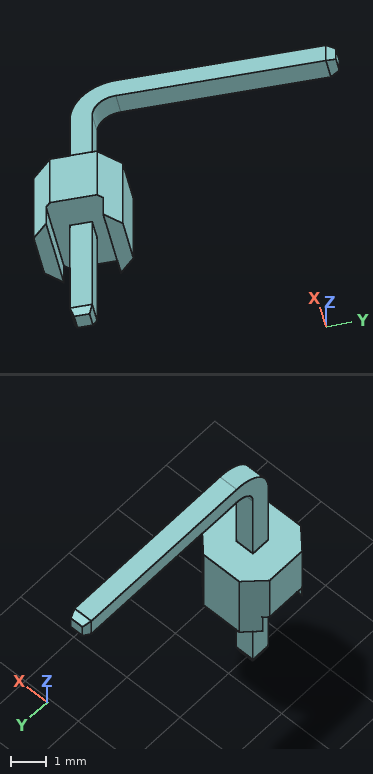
import cadquery as cq

pin_width = 0.64
pin_height = 9.39
pin_reach = 7.24
inner_bend_radius = 0.67
tip_length = 0.26
tip_width = 0.44

body_width = 2.54
body_corner = 0.6
body_bottom = 3.005
body_top = 5.5
channel_width = 1.62
channel_depth = 0.69

bend_radius = inner_bend_radius + pin_width / 2
horizontal_axis_z = pin_height - pin_width / 2


def tapered_tip(base_plane):
    """Truncated pyramid growing from the end of a straight pin section."""
    return (
        cq.Workplane(base_plane)
        .rect(pin_width, pin_width)
        .workplane(offset=tip_length)
        .rect(tip_width, tip_width)
        .loft(ruled=True)
    )


def bent_pin():
    path = (
        cq.Workplane("YZ")
        .moveTo(0, tip_length)
        .lineTo(0, horizontal_axis_z - bend_radius)
        .radiusArc((bend_radius, horizontal_axis_z), bend_radius)
        .lineTo(pin_reach - tip_length, horizontal_axis_z)
    )
    wire = (
        cq.Workplane("XY", origin=(0, 0, tip_length))
        .rect(pin_width, pin_width)
        .sweep(path)
    )
    lower_end = cq.Plane(origin=(0, 0, tip_length), xDir=(1, 0, 0), normal=(0, 0, -1))
    outer_end = cq.Plane(
        origin=(0, pin_reach - tip_length, horizontal_axis_z),
        xDir=(1, 0, 0),
        normal=(0, 1, 0),
    )
    return wire.union(tapered_tip(lower_end)).union(tapered_tip(outer_end))


def octagonal_body():
    block = (
        cq.Workplane("XY", origin=(0, 0, body_bottom))
        .rect(body_width, body_width)
        .extrude(body_top - body_bottom)
        .edges("|Z")
        .chamfer(body_corner)
    )
    channel = (
        cq.Workplane("XY", origin=(0, 0, body_bottom))
        .rect(body_width, channel_width)
        .extrude(channel_depth)
    )
    return block.cut(channel)


result = octagonal_body().union(bent_pin())